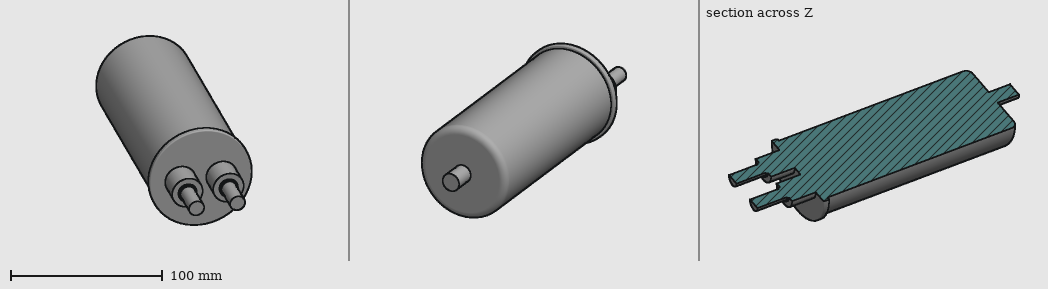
import cadquery as cq

TOTAL_LENGTH = 206.0
STUD_LENGTH = 16.0
FLANGE_END = 164.8
FLANGE_THICKNESS = 4.5

CAN_DIAMETER = 65.5
CAN_EDGE_RADIUS = 5.0
FLANGE_DIAMETER = 70.0
FLANGE_EDGE_RADIUS = 0.8
STUD_DIAMETER = 12.4

TERMINAL_SPACING = 28.0
INSULATOR_DIAMETER = 20.8
INSULATOR_LENGTH = 18.0
COLLAR_DIAMETER = 12.4
COLLAR_LENGTH = 1.2
PIN_DIAMETER = 10.3


def rod(start, end, diameter, y=0.0):
    """Solid cylinder parallel to X, from start to end."""
    return (
        cq.Workplane("YZ", origin=(start, y, 0))
        .circle(diameter / 2)
        .extrude(end - start)
    )


def can():
    """Main cylinder with its closed end rounded over."""
    return rod(STUD_LENGTH, FLANGE_END, CAN_DIAMETER).faces("<X").edges().fillet(CAN_EDGE_RADIUS)


def flange():
    """Rim at the terminal end, both outer edges rounded."""
    disc = rod(FLANGE_END - FLANGE_THICKNESS, FLANGE_END, FLANGE_DIAMETER)
    return disc.faces("<X or >X").edges().fillet(FLANGE_EDGE_RADIUS)


def terminal(y):
    """Stepped terminal standing on the flange face."""
    insulator_end = FLANGE_END + INSULATOR_LENGTH
    collar_end = insulator_end + COLLAR_LENGTH
    insulator = rod(FLANGE_END, insulator_end, INSULATOR_DIAMETER, y)
    collar = rod(insulator_end, collar_end, COLLAR_DIAMETER, y)
    pin = rod(collar_end, TOTAL_LENGTH, PIN_DIAMETER, y)
    return insulator.union(collar).union(pin)


stud = rod(0, STUD_LENGTH, STUD_DIAMETER)
result = can().union(flange()).union(stud)
for side in (-1, 1):
    result = result.union(terminal(side * TERMINAL_SPACING / 2))